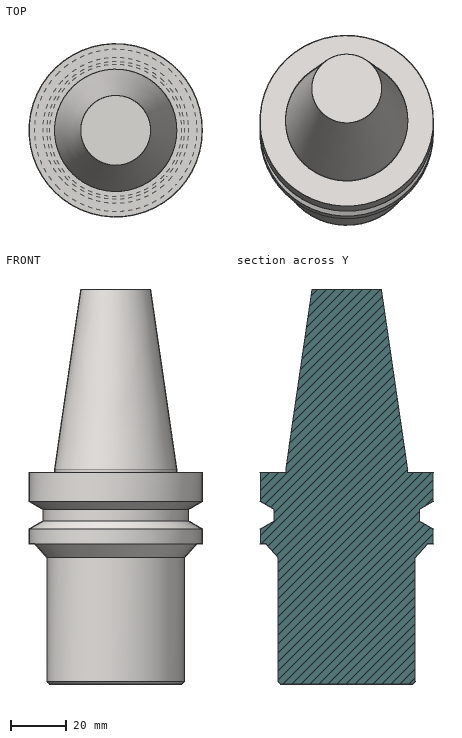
import cadquery as cq
import math

gauge_diameter = 44.45
taper_length = 65.4
taper_ratio = 7 / 24

flange_diameter = 63.0
flange_top = -1.0
flange_bottom = -27.0
groove_center = -16.6
groove_width = 10.0
groove_floor_diameter = 53.0
groove_wall_angle = 30.0

shoulder_diameter = 59.0
shoulder_height = 5.0

nose_diameter = 50.0
nose_bottom = -78.0
nose_chamfer = 1.0

gauge_radius = gauge_diameter / 2
taper_end_radius = gauge_radius - taper_length * taper_ratio / 2
flange_radius = flange_diameter / 2
groove_floor_radius = groove_floor_diameter / 2
nose_radius = nose_diameter / 2
shoulder_radius = shoulder_diameter / 2


def make_body():
    """Revolve the outer half profile, without the groove, about the Z axis."""
    profile = [
        (0, taper_length),
        (taper_end_radius, taper_length),
        (gauge_radius, 0),
        (gauge_radius, flange_top),
        (flange_radius, flange_top),
        (flange_radius, flange_bottom),
        (shoulder_radius, flange_bottom),
        (nose_radius, flange_bottom - shoulder_height),
        (nose_radius, nose_bottom),
        (0, nose_bottom),
    ]
    body = cq.Workplane("XZ").polyline(profile).close().revolve(360, (0, 0), (0, 1))
    return body.faces("<Z").edges().chamfer(nose_chamfer)


def make_groove():
    """Ring with sloping walls and a flat floor, to be cut from the flange rim."""
    wall_height = (flange_radius - groove_floor_radius) * math.tan(math.radians(groove_wall_angle))
    half_rim = groove_width / 2
    half_floor = half_rim - wall_height
    profile = [
        (flange_radius, groove_center + half_rim),
        (groove_floor_radius, groove_center + half_floor),
        (groove_floor_radius, groove_center - half_floor),
        (flange_radius, groove_center - half_rim),
    ]
    return cq.Workplane("XZ").polyline(profile).close().revolve(360, (0, 0), (0, 1))


result = make_body().cut(make_groove())